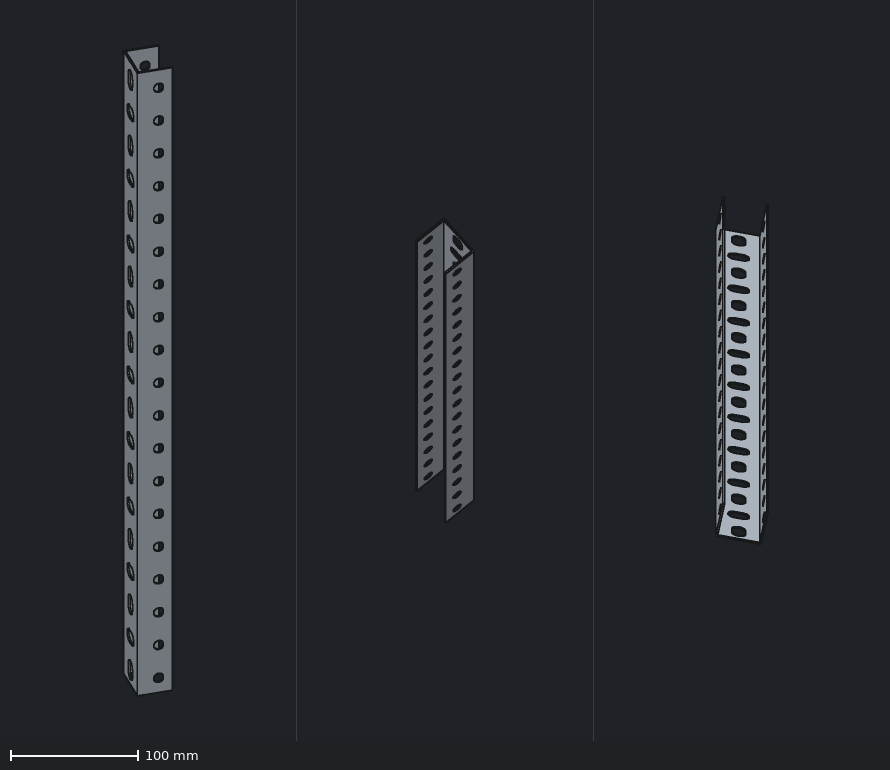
import cadquery as cq

length = 570.0
width = 36.5
depth = 29.0
wall = 1.5

row_count = 19
pitch = length / row_count
row_shift = 1.5
row_heights = [(row + 0.5) * pitch - row_shift for row in range(row_count)]

slot_end_radius = 5.55
slot_end_offset = 2.95
slot_width = 2 * slot_end_radius
slot_length = 2 * (slot_end_offset + slot_end_radius)

flange_hole_diameter = 8.0
flange_hole_offset = 2.95
flange_hole_y = depth / 2 + flange_hole_offset


def channel():
    """U-shaped channel with its web on the -Y side."""
    outer = cq.Workplane("XY").box(width, depth, length, centered=(True, False, False))
    inner = (
        cq.Workplane("XY")
        .box(width - 2 * wall, depth - wall, length, centered=(True, False, False))
        .translate((0, wall, 0))
    )
    return outer.cut(inner)


def web_slots(heights, angle):
    """Cutters for slots centred on the web, turned by an angle from X."""
    return (
        cq.Workplane("XZ", origin=(0, wall, 0))
        .pushPoints([(0, height) for height in heights])
        .slot2D(slot_length, slot_width, angle)
        .extrude(wall)
    )


def flange_holes(heights):
    """Cutters for the holes that pass through both flanges."""
    return (
        cq.Workplane("YZ", origin=(-width / 2, 0, 0))
        .pushPoints([(flange_hole_y, height) for height in heights])
        .circle(flange_hole_diameter / 2)
        .extrude(width)
    )


upright_slots = web_slots(row_heights[0::2], 90)
crosswise_slots = web_slots(row_heights[1::2], 0)
result = channel().cut(upright_slots).cut(crosswise_slots).cut(flange_holes(row_heights))